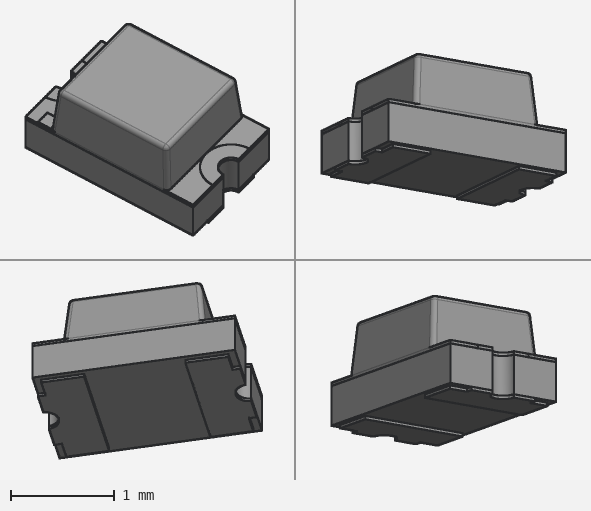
import cadquery as cq

length = 2.0
width = 1.25
total_height = 1.0
board_height = 0.395
layer_height = 0.035

passage_diameter = 0.25
ring_diameter = 0.6

lens_length = length - ring_diameter
draft_angle = 5.0
edge_radius = 0.05

pad_length = 0.5
pad_width = 1.15
pad_end_width = 0.75
pad_step = 0.075

mark_size = 0.155
mark_end_gap = 0.14
mark_side_gap = 0.015

board_bottom = layer_height
board_top = board_bottom + board_height
skirt_top = board_top + layer_height
lens_height = total_height - skirt_top

END_SIGNS = (-1, 1)


def box_on(bottom, size_x, size_y, height, x=0.0, y=0.0):
    """Box centred on (x, y) that stands on the given level."""
    return cq.Workplane("XY", origin=(x, y, bottom)).rect(size_x, size_y).extrude(height)


def end_cylinders(bottom, diameter, height):
    """Upright cylinders centred on the middle of both end faces."""
    end_centres = [(sign * length / 2, 0) for sign in END_SIGNS]
    plane = cq.Workplane("XY", origin=(0, 0, bottom))
    return plane.pushPoints(end_centres).circle(diameter / 2).extrude(height)


passages = end_cylinders(0, passage_diameter, total_height)


def make_board():
    return box_on(board_bottom, length, width, board_height).cut(passages)


def make_solder_pad(sign):
    """Pad under one end of the board, narrower where it reaches the end face."""
    wide_length = pad_length - pad_step
    wide_x = sign * (length / 2 - pad_step - wide_length / 2)
    end_x = sign * (length - pad_length) / 2
    wide_part = box_on(0, wide_length, pad_width, layer_height, wide_x)
    end_part = box_on(0, pad_length, pad_end_width, layer_height, end_x)
    return wide_part.union(end_part).cut(passages)


def make_contact_ring(sign):
    """Half ring around one passage, flush with the top of the skirt."""
    half_length = length / 2
    half = box_on(board_top, half_length, width, layer_height, sign * half_length / 2)
    return half.intersect(end_cylinders(board_top, ring_diameter, layer_height)).cut(passages)


def make_polarity_mark():
    """Square inlay beside the lens, near one corner."""
    x = -length / 2 + mark_end_gap + mark_size / 2
    y = -width / 2 + mark_side_gap + mark_size / 2
    return box_on(board_top, mark_size, mark_size, layer_height, x, y)


def make_resin(polarity_mark):
    """Drafted lens moulded in one piece with a thin skirt over the board."""
    lens = (
        cq.Workplane("XY", origin=(0, 0, skirt_top))
        .rect(lens_length, width)
        .extrude(lens_height, taper=draft_angle)
    )
    lens = lens.edges("not #Z").fillet(edge_radius)
    lens = lens.faces(">Z").edges().fillet(edge_radius)
    skirt = box_on(board_top, length, width, layer_height)
    skirt = skirt.cut(end_cylinders(board_top, ring_diameter, layer_height)).cut(polarity_mark)
    return skirt.union(lens)


board = make_board()
polarity_mark = make_polarity_mark()
resin = make_resin(polarity_mark)
solder_pads = [make_solder_pad(sign) for sign in END_SIGNS]
contact_rings = [make_contact_ring(sign) for sign in END_SIGNS]

result = cq.Compound.makeCompound([
    board.solids().val(),
    resin.solids().val(),
    polarity_mark.solids().val(),
    *[pad.solids().val() for pad in solder_pads],
    *[ring.solids().val() for ring in contact_rings],
])